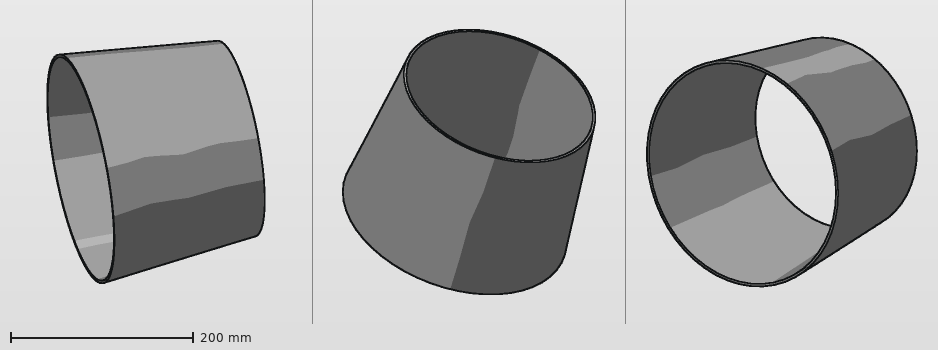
import cadquery as cq

large_diameter = 256.0
small_diameter = 219.1
length = 178.0
wall = 3.0

large_radius = large_diameter / 2
small_radius = small_diameter / 2

wall_section = (
    cq.Workplane("XY")
    .moveTo(large_radius - wall, 0)
    .lineTo(large_radius, 0)
    .lineTo(small_radius, length)
    .lineTo(small_radius - wall, length)
    .close()
)

result = wall_section.revolve(360, (0, 0, 0), (0, 1, 0))